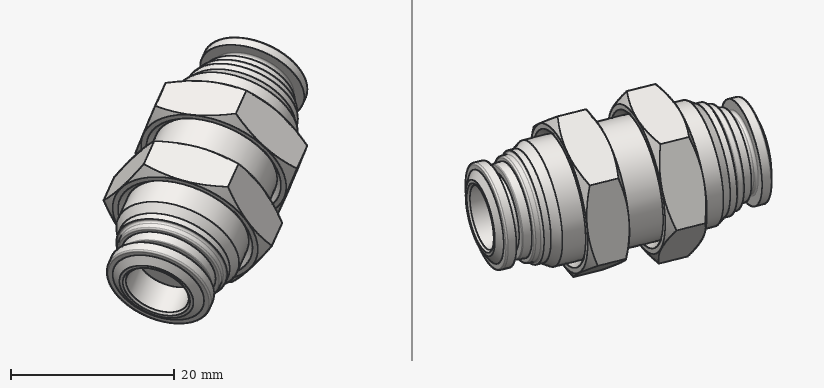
import cadquery as cq
import math

total_length = 36.55
half_length = total_length / 2

barrel_radius = 8.0
barrel_at = 7.65
shoulder_radius = 7.25
shoulder_cone_at = 6.45
shoulder_face_at = 5.52
shoulder_fillet = 0.3

ring_radius = 6.8
ring_face_at = 4.35
ring_rim_fillet = 0.22

collar_large_radius = 6.15
collar_small_radius = 6.03
collar_outer_at = 3.1
collar_rim_fillet = 0.1

neck_radius = 5.05
neck_fillet = 0.4

flange_radius = 6.8
flange_inner_at = 2.05
flange_outer_at = 0.7
flange_rim_fillet = 0.22
nose_base_radius = 5.95
nose_tip_radius = 4.82

socket_radius = 4.1
socket_mouth_radius = 4.4
socket_mouth_depth = 0.3
socket_depth = 4.4

nut_sides = 6
nut_across_flats = 19.0
nut_thickness = 5.52
nut_centre_offset = 5.1
nut_face_radius = 9.45
nut_chamfer_angle = 30.0
nut_countersink_radius = 8.77
front_nut_turn = 1.4
rear_nut_turn = 16.4

match_tolerance = 0.005


def circles_at(solid, radius, distance):
    """Return the circular edges of this radius at this distance to either side of the XZ plane."""
    circles = [edge for edge in solid.Edges() if edge.geomType() == "CIRCLE"]
    return [
        edge
        for edge in circles
        if math.isclose(edge.radius(), radius, abs_tol=match_tolerance)
        and math.isclose(abs(edge.Center().y), distance, abs_tol=match_tolerance)
    ]


def make_fitting():
    """Return the barrel with both stepped ends and their sockets."""
    end_steps = [
        (0, socket_depth),
        (socket_radius, socket_depth),
        (socket_radius, socket_mouth_depth),
        (socket_mouth_radius, 0),
        (nose_tip_radius, 0),
        (nose_base_radius, flange_outer_at),
        (flange_radius, flange_outer_at),
        (flange_radius, flange_inner_at),
        (neck_radius, flange_inner_at),
        (neck_radius, collar_outer_at),
        (collar_small_radius, collar_outer_at),
        (collar_large_radius, ring_face_at),
        (ring_radius, ring_face_at),
        (ring_radius, shoulder_face_at),
        (shoulder_radius, shoulder_face_at),
        (shoulder_radius, shoulder_cone_at),
        (barrel_radius, barrel_at),
    ]
    front_outline = [(radius, inset - half_length) for radius, inset in end_steps]
    rear_outline = [(radius, -y) for radius, y in reversed(front_outline)]
    outline = cq.Workplane("XY").polyline(front_outline + rear_outline).close()
    fitting_solid = outline.revolve(360, (0, 0, 0), (0, 1, 0)).val()

    rounds = [
        (flange_radius, flange_outer_at, flange_rim_fillet),
        (neck_radius, flange_inner_at, neck_fillet),
        (collar_small_radius, collar_outer_at, collar_rim_fillet),
        (ring_radius, ring_face_at, ring_rim_fillet),
        (ring_radius, shoulder_face_at, shoulder_fillet),
    ]
    for edge_radius, inset, fillet_radius in rounds:
        edges = circles_at(fitting_solid, edge_radius, half_length - inset)
        fitting_solid = fitting_solid.fillet(fillet_radius, edges)
    return fitting_solid


def make_nut(centre_y, turn):
    """Return a chamfered, countersunk hexagon nut turned about Y by the given degrees."""
    half_thickness = nut_thickness / 2
    corner_radius = nut_across_flats / 2 / math.cos(math.pi / nut_sides)
    chamfer_depth = (corner_radius - nut_face_radius) * math.tan(math.radians(nut_chamfer_angle))
    countersink_depth = nut_countersink_radius - barrel_radius

    hexagon = (
        cq.Workplane("XZ")
        .polygon(nut_sides, 2 * corner_radius)
        .extrude(half_thickness, both=True)
        .rotate((0, 0, 0), (0, 1, 0), -turn)
    )
    turned_ring = (
        cq.Workplane("XY")
        .polyline([
            (barrel_radius, countersink_depth - half_thickness),
            (nut_countersink_radius, -half_thickness),
            (nut_face_radius, -half_thickness),
            (corner_radius, chamfer_depth - half_thickness),
            (corner_radius, half_thickness - chamfer_depth),
            (nut_face_radius, half_thickness),
            (nut_countersink_radius, half_thickness),
            (barrel_radius, half_thickness - countersink_depth),
        ])
        .close()
        .revolve(360, (0, 0, 0), (0, 1, 0))
    )
    return hexagon.intersect(turned_ring).translate((0, centre_y, 0))


fitting = make_fitting()
nut_places = [
    (-nut_centre_offset, front_nut_turn),
    (nut_centre_offset, rear_nut_turn),
]
nuts = [make_nut(centre_y, turn) for centre_y, turn in nut_places]

result = cq.Compound.makeCompound([fitting, *[nut.val() for nut in nuts]])